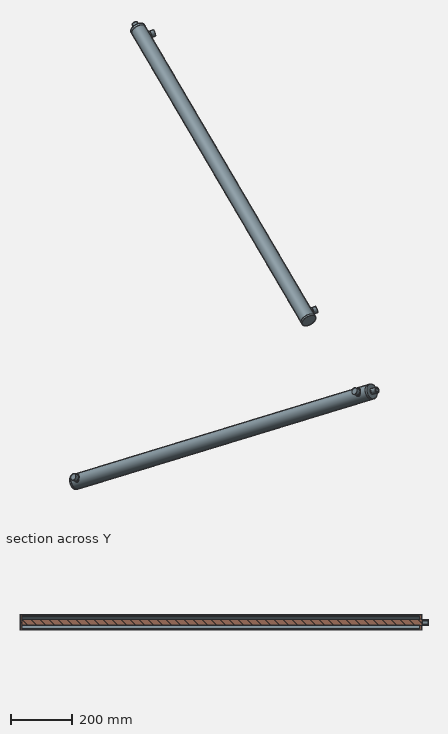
import cadquery as cq

TOTAL_LENGTH = 1330.0
BARREL_DIAMETER = 50.0
BARREL_BORE = 40.0
GLAND_THICKNESS = 8.0
CAP_THICKNESS = 7.0

ROD_DIAMETER = 20.0
ROD_PROTRUSION = 21.0
ROD_HOLE_DIAMETER = 11.5
ROD_HOLE_DEPTH = 20.0

PORT_DIAMETER = 23.0
PORT_TOP = 41.0
PORT_POSITIONS = (61.0, 1300.0)

BEAD_BASE_DIAMETER = 28.0
BEAD_BASE = 20.0
BEAD_TOP = 28.0

GLAND_START = ROD_PROTRUSION
BARREL_START = GLAND_START + GLAND_THICKNESS
BARREL_END = TOTAL_LENGTH - CAP_THICKNESS


def rod_along_x(diameter, start, end):
    """Solid cylinder on the X axis from start to end."""
    return cq.Workplane("YZ", origin=(start, 0, 0)).circle(diameter / 2).extrude(end - start)


def make_barrel():
    outside = rod_along_x(BARREL_DIAMETER, BARREL_START, BARREL_END)
    return outside.cut(rod_along_x(BARREL_BORE, BARREL_START, BARREL_END))


def make_gland():
    disc = rod_along_x(BARREL_DIAMETER, GLAND_START, BARREL_START)
    return disc.cut(rod_along_x(ROD_DIAMETER, GLAND_START, BARREL_START))


def make_end_cap():
    return rod_along_x(BARREL_DIAMETER, BARREL_END, TOTAL_LENGTH)


def make_piston_rod():
    """Rod reaching the end cap, with a blind hole in its outer end."""
    rod = rod_along_x(ROD_DIAMETER, 0, BARREL_END)
    return rod.cut(rod_along_x(ROD_HOLE_DIAMETER, 0, ROD_HOLE_DEPTH))


def make_port(x):
    """Round boss along +Y, its foot shaped to sit on the barrel."""
    boss = (
        cq.Workplane("XZ", origin=(x, 0, 0))
        .circle(PORT_DIAMETER / 2)
        .extrude(-PORT_TOP)
    )
    return boss.cut(rod_along_x(BARREL_DIAMETER, GLAND_START, TOTAL_LENGTH))


def make_weld_bead(x, port):
    """Conical bead filling the corner between a port and the barrel."""
    cone = (
        cq.Workplane("XZ", origin=(x, BEAD_BASE, 0))
        .circle(BEAD_BASE_DIAMETER / 2)
        .workplane(offset=BEAD_BASE - BEAD_TOP)
        .circle(PORT_DIAMETER / 2)
        .loft(ruled=True)
    )
    return cone.cut(port).cut(rod_along_x(BARREL_DIAMETER, GLAND_START, TOTAL_LENGTH))


barrel = make_barrel()
gland = make_gland()
end_cap = make_end_cap()
piston_rod = make_piston_rod()
ports = [make_port(x) for x in PORT_POSITIONS]
weld_beads = [make_weld_bead(x, port) for x, port in zip(PORT_POSITIONS, ports)]

result = cq.Compound.makeCompound([
    barrel.val(),
    gland.val(),
    end_cap.val(),
    piston_rod.val(),
    *[port.val() for port in ports],
    *[bead.val() for bead in weld_beads],
])